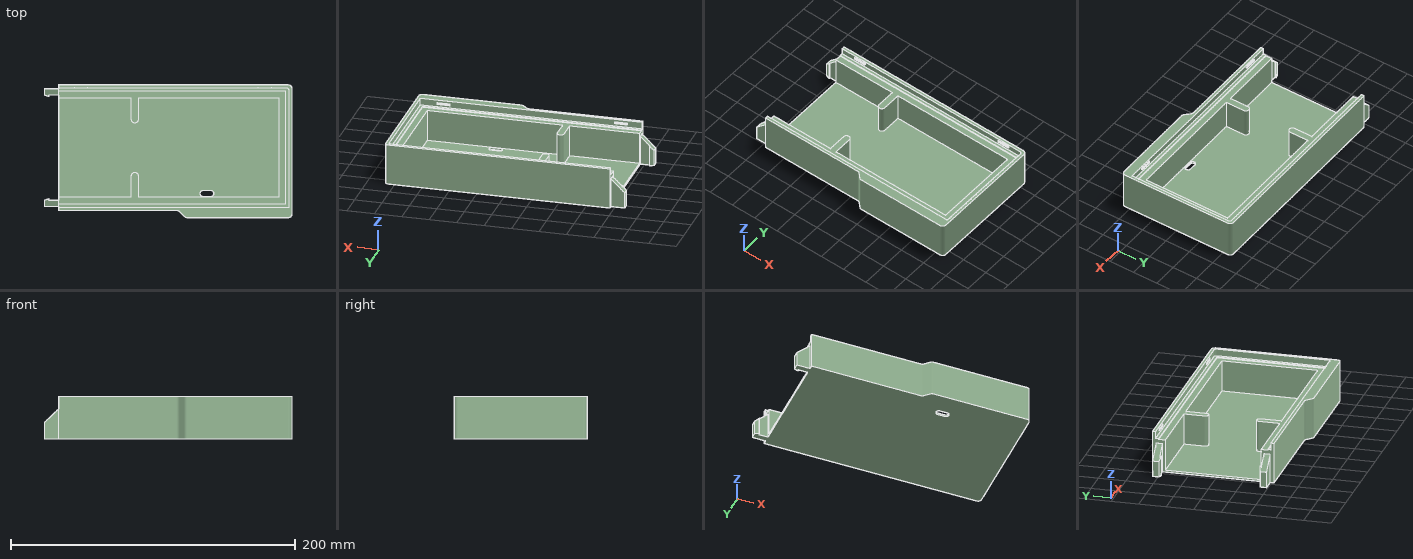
import cadquery as cq

tab_length = 10.1
body_length = 174.2 - tab_length
body_width = 88.5
bulge_depth = 5.0
height = 30.0
corner_radius = 2.8
bulge_start = 84.2

seat_margin = 2.3
seat_depth = 5.0
seat_corner_radius = 1.7
step_margin = 4.5
step_depth = 5.5
pocket_margin = 9.4
floor_thickness = 1.5

rib_center_x = 53.5
rib_width = 5.0
rib_length = 17.5

slot_center_x = 104.2
slot_center_y = 12.0
slot_length = 9.5
slot_width = 4.0

groove_starts = (11.0, 140.3)
groove_length = 9.4
groove_height = 1.0
groove_depth = 0.7
groove_bottom = height - 3.3

tab_margin = 2.8
tab_width = 4.5
tab_tip_height = 11.7
tab_root_height = 21.5
barb_end = 3.1
barb_depth = 1.0


def make_body():
    """Solid block with a 45 degree lead into the side bulge and rounded upright corners."""
    block = (
        cq.Workplane("XY")
        .moveTo(0, 0)
        .lineTo(bulge_start, 0)
        .lineTo(bulge_start + bulge_depth, -bulge_depth)
        .lineTo(body_length, -bulge_depth)
        .lineTo(body_length, body_width)
        .lineTo(0, body_width)
        .close()
        .extrude(height)
    )
    return block.edges("|Z and (not <X)").fillet(corner_radius)


def open_ended_cut(margin, bottom):
    """Box open at -X and at the top, inset by margin from the other three sides."""
    return (
        cq.Workplane("XY")
        .box(body_length - margin, body_width - 2 * margin, height - bottom, centered=False)
        .translate((0, margin, bottom))
    )


def make_rib():
    """Rib on the -Y pocket wall with a rounded free end."""
    radius = rib_width / 2
    straight_end = pocket_margin + rib_length - radius
    return (
        cq.Workplane("XY")
        .moveTo(rib_center_x - radius, pocket_margin)
        .lineTo(rib_center_x - radius, straight_end)
        .threePointArc((rib_center_x, straight_end + radius), (rib_center_x + radius, straight_end))
        .lineTo(rib_center_x + radius, pocket_margin)
        .close()
        .extrude(height - step_depth)
    )


def make_groove(start):
    """Shallow groove cut into the -Y wall of the lid seat."""
    return (
        cq.Workplane("XY")
        .box(groove_length, groove_depth, groove_height, centered=False)
        .translate((start, seat_margin - groove_depth, groove_bottom))
    )


def make_tab():
    """Tab on the -Y side: plan shape with barb, trimmed by the sloped side profile."""
    inner_y = tab_margin + tab_width
    plan = (
        cq.Workplane("XY")
        .moveTo(0, tab_margin)
        .lineTo(0, inner_y)
        .lineTo(barb_end - tab_length, inner_y)
        .lineTo(barb_end - tab_length, inner_y + barb_depth)
        .lineTo(-tab_length, inner_y)
        .lineTo(-tab_length, tab_margin)
        .close()
        .extrude(height)
    )
    side_profile = (
        cq.Workplane("XZ")
        .moveTo(0, 0)
        .lineTo(0, tab_root_height)
        .lineTo(-tab_length, tab_tip_height)
        .lineTo(-tab_length, 0)
        .close()
        .extrude(-body_width)
    )
    return plan.intersect(side_profile)


def mirrored(shape):
    """Copy of a shape on the opposite long side."""
    return shape.mirror("XZ", (0, body_width / 2, 0))


seat = open_ended_cut(seat_margin, height - seat_depth).edges("|Z and >X and >Y").fillet(seat_corner_radius)
step = open_ended_cut(step_margin, height - step_depth)
pocket = open_ended_cut(pocket_margin, floor_thickness)
result = make_body().cut(seat).cut(step).cut(pocket)

for feature in (make_rib(), make_tab()):
    result = result.union(feature).union(mirrored(feature))

for groove_start in groove_starts:
    groove = make_groove(groove_start)
    result = result.cut(groove).cut(mirrored(groove))

slot = (
    cq.Workplane("XY")
    .center(slot_center_x, slot_center_y)
    .slot2D(slot_length, slot_width)
    .extrude(floor_thickness)
)
result = result.cut(slot)